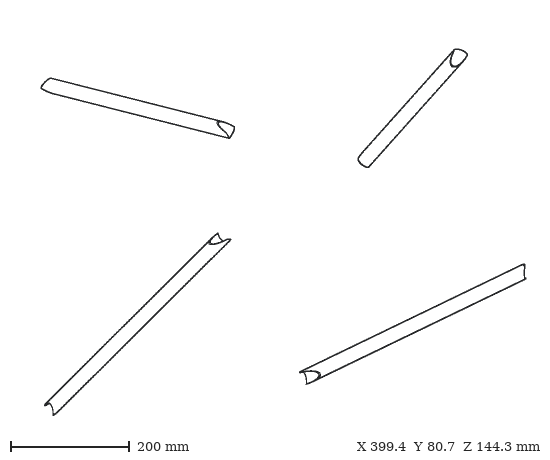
import cadquery as cq

OUTER_DIAMETER = 25.0
WALL = 1.0
INNER_DIAMETER = OUTER_DIAMETER - 2 * WALL

AXIS_POINT = cq.Vector(0, 0.5, 0.1)
AXIS_DIRECTION = cq.Vector(1, 0.1426, 0.3499)
STOCK_LENGTH = 500.0

CUTTER_LENGTH = 300.0
TRIM_SIZE = 400.0
TRIM_DEPTH = 200.0

LOWER_COPE_RADIUS = 23.1
LOWER_COPE_POINT = cq.Vector(-217.3, -27.9, -66)
LOWER_COPE_AXIS = cq.Vector(0, 0, 1)
LOWER_TRIM_POINT = cq.Vector(-190, -27, -69.8)
LOWER_TRIM_NORMAL = cq.Vector(-0.09, 0.03, -1)

UPPER_COPE_RADIUS = 15.9
UPPER_COPE_POINT = cq.Vector(205.6, 33.3, 66)
UPPER_COPE_AXIS = cq.Vector(-0.345, -0.25, 1)
UPPER_TRIM_POINT = cq.Vector(185, 27, 70.5)
UPPER_TRIM_NORMAL = cq.Vector(0, 0.2, 1)


def straight_tube():
    """Uncut tube, centred lengthwise on the axis point."""
    section = cq.Plane(AXIS_POINT, normal=AXIS_DIRECTION)
    profile = cq.Workplane(section).circle(OUTER_DIAMETER / 2).circle(INNER_DIAMETER / 2)
    return profile.extrude(STOCK_LENGTH / 2, both=True)


def cope_cutter(point, axis, radius):
    """Round bar centred on a point of its axis, leaving a concave saddle in the tube end."""
    bar = cq.Workplane(cq.Plane(point, normal=axis)).circle(radius)
    return bar.extrude(CUTTER_LENGTH / 2, both=True)


def trim_cutter(point, normal):
    """Block removing everything beyond the plane through the point."""
    block = cq.Workplane(cq.Plane(point, xDir=cq.Vector(1, 0, 0), normal=normal))
    return block.rect(TRIM_SIZE, TRIM_SIZE).extrude(TRIM_DEPTH)


def largest_solid(shape):
    """Keep the tube and drop the offcuts beyond the copes."""
    return max(shape.solids().vals(), key=lambda solid: solid.Volume())


tube = straight_tube()
tube = tube.cut(trim_cutter(LOWER_TRIM_POINT, LOWER_TRIM_NORMAL))
tube = tube.cut(trim_cutter(UPPER_TRIM_POINT, UPPER_TRIM_NORMAL))
tube = tube.cut(cope_cutter(LOWER_COPE_POINT, LOWER_COPE_AXIS, LOWER_COPE_RADIUS))
tube = tube.cut(cope_cutter(UPPER_COPE_POINT, UPPER_COPE_AXIS, UPPER_COPE_RADIUS))

result = cq.Workplane(obj=largest_solid(tube))